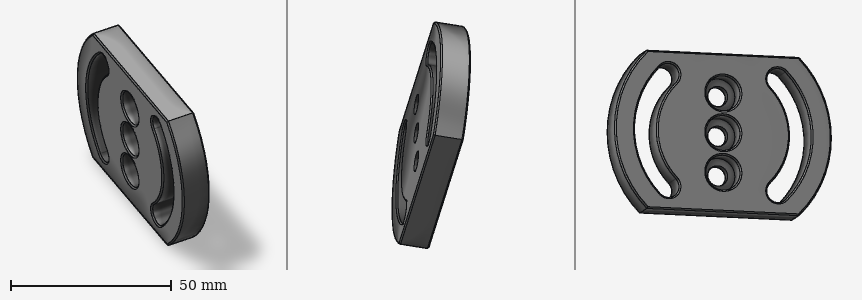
import cadquery as cq
import math

disc_diameter = 70.0
thickness = 9.5
height = 50.0
edge_chamfer = 0.5

hole_diameter = 6.4
bore_diameter = 11.0
hole_pitch = 12.5
bore_floor = 3.0
bore_depth = thickness - bore_floor

slot_radius = 25.0
slot_width = 7.0
slot_half_angle = 45.0


def front_plane():
    """Sketch plane on the -Y face; negative extrusions run into the plate."""
    return cq.Workplane("XZ", origin=(0, -thickness / 2, 0))


def polar(radius, angle):
    a = math.radians(angle)
    return (radius * math.cos(a), radius * math.sin(a))


def slot_tip(angle, direction):
    """Farthest point of the round slot end centred at the given angle."""
    x, z = polar(slot_radius, angle)
    dx, dz = polar(slot_width / 2, angle + direction * 90)
    return (x + dx, z + dz)


def curved_slot(middle_angle):
    """Cutter for an arc slot with round ends."""
    outer = slot_radius + slot_width / 2
    inner = slot_radius - slot_width / 2
    start = middle_angle - slot_half_angle
    end = middle_angle + slot_half_angle
    return (
        front_plane()
        .moveTo(*polar(outer, start))
        .threePointArc(polar(outer, middle_angle), polar(outer, end))
        .threePointArc(slot_tip(end, 1), polar(inner, end))
        .threePointArc(polar(inner, middle_angle), polar(inner, start))
        .threePointArc(slot_tip(start, -1), polar(outer, start))
        .close()
        .extrude(-thickness)
    )


def hole_row(diameter, depth):
    """Cutter for the three round holes, sunk from the front face."""
    places = [(0, i * hole_pitch) for i in (-1, 0, 1)]
    return front_plane().pushPoints(places).circle(diameter / 2).extrude(-depth)


plate = front_plane().circle(disc_diameter / 2).extrude(-thickness)
plate = plate.intersect(cq.Workplane("XY").box(disc_diameter, thickness, height))

for middle_angle in (0, 180):
    plate = plate.cut(curved_slot(middle_angle))
plate = plate.cut(hole_row(bore_diameter, bore_depth))

plate = plate.faces("<Y or >Y").chamfer(edge_chamfer)
result = plate.cut(hole_row(hole_diameter, thickness))